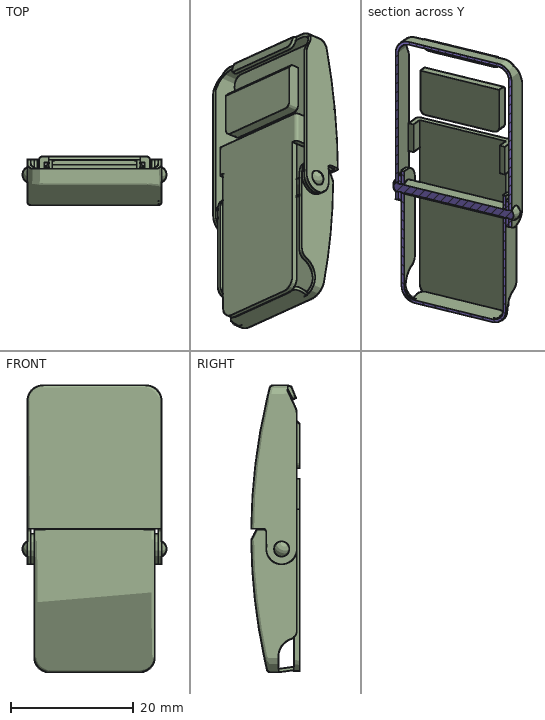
import cadquery as cq
import math


BACK = 3.0
FRONT = -5.0
COVER_BACK = 2.5
UPPER_TIP = 26.8
LOWER_TIP = -20.2
BEYOND = 3.0

FRONT_RADIUS = 96.0
CREST_Z = 2.4

WALL = 0.6
CORNER_RADIUS = 2.6
EDGE_ROUND = 0.6
UPPER_HALF_WIDTH = 11.0
LOWER_HALF_WIDTH = 9.9
UPPER_OPEN_Z = 3.3
LOWER_OPEN_Z = 3.2

LUG_RADIUS = 2.5
LUG_NOTCH_ROUND = 0.6
UPPER_TIP_BACK = 1.0
BEVEL_TOP_Z = 25.9
BEVEL_BOTTOM_Z = 22.7
BEVEL_ROUND = 2.5
UPPER_LIP_HALF_WIDTH = 6.95
UPPER_LIP_BEND = (1.6, 26.6)
UPPER_LIP_END_OUTER = (2.37, 24.7)
UPPER_LIP_END_INNER = (1.83, 24.44)
UPPER_LIP_ROOT = (UPPER_TIP_BACK, 26.1)
UPPER_LIP_CORNER = 0.8

FOLD_Z = 1.45
FOLD_TOP_Y = -4.1
FOLD_ROUND = 0.5
LOWER_TIP_BACK = -0.5
SCOOP_RADIUS = COVER_BACK - LOWER_TIP_BACK
SCOOP_ROUND = 1.5
LOWER_LIP_HALF_WIDTH = 8.0
LIP_RISE = 0.35
LOWER_LIP_CORNER = 1.0

PIN_RADIUS = 1.25
PIN_DOME = 0.8
WASHER_RADIUS = LUG_RADIUS

PLATE_THICKNESS = 1.0
FLANGE_HALF_WIDTH = 9.1
FLANGE_THICKNESS = 0.95
FLANGE_ROUND = 0.6
FLANGE_BOTTOM = 6.5
FLANGE_EDGE = 0.0
PLATE_HALF_WIDTH = FLANGE_HALF_WIDTH - FLANGE_THICKNESS
PLATE_TOP = 11.5
PLATE_BOTTOM = -20.0
PLATE_CORNER = 2.0

BLOCK_HALF_WIDTH = 7.45
BLOCK_TOP = 21.0
BLOCK_BOTTOM = 13.2
BLOCK_FRONT = 1.0
BLOCK_CORNER = 1.0
BLOCK_CHAMFER = 0.55


def across(sketch, half_width):
    """Extrude a YZ outline symmetrically along X."""
    return sketch.extrude(half_width, both=True)


def rounded_front_body(half_width, open_z, tip_z, inset):
    """Solid block behind the curved front, with round corners at its tip."""
    half = half_width - inset
    up = 1 if tip_z > open_z else -1
    tip = tip_z - up * inset
    depth = BACK + BEYOND - FRONT
    plan = (
        cq.Workplane("XZ", origin=(0, BACK + BEYOND, (open_z + tip) / 2))
        .rect(2 * half, abs(tip - open_z))
        .extrude(depth + BEYOND)
        .edges("|Y")
        .edges(">Z" if up > 0 else "<Z")
        .fillet(CORNER_RADIUS - inset)
    )
    drum = across(
        cq.Workplane("YZ").center(FRONT + FRONT_RADIUS, CREST_Z).circle(FRONT_RADIUS - inset),
        half_width + BEYOND,
    )
    return plan.intersect(drum)


def round_front_edges(body, tip_selector):
    """Round the front rim along the sides, the corners and the tip."""
    rim = body.edges("not(|Y or >Y)").edges("(not |X) or " + tip_selector)
    return rim.fillet(EDGE_ROUND)


def lip(outline, half_width, corner_radius, tip_selector):
    """Bent tab along a tip wall, with its two free corners rounded."""
    tab = across(cq.Workplane("YZ").polyline(outline).close(), half_width)
    return tab.faces(tip_selector).edges("not |X").fillet(corner_radius)


def hinge_bore():
    return across(cq.Workplane("YZ").circle(PIN_RADIUS), UPPER_HALF_WIDTH + BEYOND)


def make_upper_cover():
    shell = rounded_front_body(UPPER_HALF_WIDTH, UPPER_OPEN_Z - 2 * BEYOND, UPPER_TIP, 0)
    shell = round_front_edges(shell, ">Z")
    notch_z = UPPER_OPEN_Z - LUG_NOTCH_ROUND
    side = across(
        cq.Workplane("YZ")
        .moveTo(UPPER_TIP_BACK, UPPER_TIP + BEYOND)
        .lineTo(UPPER_TIP_BACK, BEVEL_TOP_Z)
        .lineTo(COVER_BACK, BEVEL_BOTTOM_Z)
        .lineTo(COVER_BACK, 0)
        .threePointArc((0, -LUG_RADIUS), (-LUG_RADIUS, 0))
        .lineTo(-LUG_RADIUS, notch_z)
        .radiusArc((-LUG_RADIUS - LUG_NOTCH_ROUND, UPPER_OPEN_Z), -LUG_NOTCH_ROUND)
        .lineTo(FRONT - BEYOND, UPPER_OPEN_Z)
        .lineTo(FRONT - BEYOND, UPPER_TIP + BEYOND)
        .close(),
        UPPER_HALF_WIDTH + BEYOND,
    )
    bevel_end = cq.selectors.NearestToPointSelector((0, COVER_BACK, BEVEL_BOTTOM_Z))
    side = side.edges("|X").edges(bevel_end).fillet(BEVEL_ROUND)

    cavity = rounded_front_body(UPPER_HALF_WIDTH, UPPER_OPEN_Z - 3 * BEYOND, UPPER_TIP, WALL)
    shell = shell.intersect(side).cut(cavity)

    tab = [
        (UPPER_TIP_BACK, UPPER_TIP),
        UPPER_LIP_BEND,
        UPPER_LIP_END_OUTER,
        UPPER_LIP_END_INNER,
        UPPER_LIP_ROOT,
    ]
    upper_lip = lip(tab, UPPER_LIP_HALF_WIDTH, UPPER_LIP_CORNER, "<Z")
    return shell.union(upper_lip).cut(hinge_bore())


def folded_front(inset, top_z):
    """Side outline that trims the lower cover to the slope of its fold."""
    slope = (FOLD_TOP_Y - FRONT) / (LOWER_OPEN_Z - FOLD_Z)
    shift = inset * math.hypot(1, slope)
    top_y = FRONT + slope * (top_z - FOLD_Z) + shift
    low_z = FOLD_Z - BEYOND
    low_y = FRONT + slope * (low_z - FOLD_Z) + shift
    outline = (
        cq.Workplane("YZ")
        .moveTo(top_y, top_z)
        .lineTo(low_y, low_z)
        .lineTo(low_y, LOWER_TIP - BEYOND)
        .lineTo(BACK + 2 * BEYOND, LOWER_TIP - BEYOND)
        .lineTo(BACK + 2 * BEYOND, top_z)
        .close()
    )
    return across(outline, UPPER_HALF_WIDTH)


def make_lower_cover():
    shell = rounded_front_body(LOWER_HALF_WIDTH, LOWER_OPEN_Z, LOWER_TIP, 0)
    shell = shell.intersect(folded_front(0, LOWER_OPEN_Z))
    fold = cq.selectors.NearestToPointSelector((0, FRONT, FOLD_Z))
    shell = shell.edges("|X").edges(fold).fillet(FOLD_ROUND)
    shell = round_front_edges(shell, "<Z")

    scoop_z = LOWER_TIP + CORNER_RADIUS
    side = across(
        cq.Workplane("YZ")
        .moveTo(LOWER_TIP_BACK, LOWER_TIP - BEYOND)
        .lineTo(LOWER_TIP_BACK, scoop_z)
        .radiusArc((COVER_BACK, scoop_z + SCOOP_RADIUS), SCOOP_RADIUS)
        .lineTo(COVER_BACK, LOWER_OPEN_Z - LUG_RADIUS)
        .radiusArc((COVER_BACK - LUG_RADIUS, LOWER_OPEN_Z), -LUG_RADIUS)
        .lineTo(FRONT - BEYOND, LOWER_OPEN_Z)
        .lineTo(FRONT - BEYOND, LOWER_TIP - BEYOND)
        .close(),
        UPPER_HALF_WIDTH,
    )
    heel = cq.selectors.NearestToPointSelector((0, COVER_BACK, scoop_z + SCOOP_RADIUS))
    side = side.edges("|X").edges(heel).fillet(SCOOP_ROUND)

    top_z = LOWER_OPEN_Z + BEYOND
    cavity = rounded_front_body(LOWER_HALF_WIDTH, top_z, LOWER_TIP, WALL)
    cavity = cavity.intersect(folded_front(WALL, top_z))
    shell = shell.intersect(side).cut(cavity)

    lip_end = BACK - PLATE_THICKNESS
    tab = [
        (LOWER_TIP_BACK, LOWER_TIP),
        (lip_end, LOWER_TIP + LIP_RISE),
        (lip_end, LOWER_TIP + LIP_RISE + WALL),
        (LOWER_TIP_BACK, LOWER_TIP + WALL),
    ]
    lower_lip = lip(tab, LOWER_LIP_HALF_WIDTH, LOWER_LIP_CORNER, ">Y")
    return shell.union(lower_lip).cut(hinge_bore())


def make_pin():
    end = UPPER_HALF_WIDTH
    tip = end + PIN_DOME
    dome_radius = (PIN_RADIUS**2 + PIN_DOME**2) / (2 * PIN_DOME)
    return (
        cq.Workplane("XY")
        .moveTo(-tip, 0)
        .radiusArc((-end, PIN_RADIUS), dome_radius)
        .lineTo(end, PIN_RADIUS)
        .radiusArc((tip, 0), dome_radius)
        .close()
        .revolve(360, (0, 0, 0), (1, 0, 0))
    )


def make_washer(side):
    """Spacer between the cover walls; side is -1 or +1 along X."""
    inner = LOWER_HALF_WIDTH
    outer = UPPER_HALF_WIDTH - WALL
    return (
        cq.Workplane("YZ", origin=(side * inner, 0, 0))
        .circle(WASHER_RADIUS)
        .circle(PIN_RADIUS)
        .extrude(side * (outer - inner))
    )


def make_base_plate():
    plate = (
        cq.Workplane("XY")
        .box(2 * PLATE_HALF_WIDTH, PLATE_THICKNESS, FLANGE_BOTTOM - PLATE_BOTTOM)
        .translate((0, BACK - PLATE_THICKNESS / 2, (FLANGE_BOTTOM + PLATE_BOTTOM) / 2))
        .edges("|Y and <Z")
        .fillet(PLATE_CORNER)
    )
    channel = (
        cq.Workplane("XY", origin=(0, 0, FLANGE_BOTTOM))
        .moveTo(-FLANGE_HALF_WIDTH, FLANGE_EDGE)
        .lineTo(-FLANGE_HALF_WIDTH, BACK)
        .lineTo(FLANGE_HALF_WIDTH, BACK)
        .lineTo(FLANGE_HALF_WIDTH, FLANGE_EDGE)
        .lineTo(PLATE_HALF_WIDTH, FLANGE_EDGE)
        .lineTo(PLATE_HALF_WIDTH, BACK - PLATE_THICKNESS)
        .lineTo(-PLATE_HALF_WIDTH, BACK - PLATE_THICKNESS)
        .lineTo(-PLATE_HALF_WIDTH, FLANGE_EDGE)
        .close()
        .extrude(PLATE_TOP - FLANGE_BOTTOM)
        .edges("|Z and >Y")
        .fillet(FLANGE_ROUND)
    )
    return plate.union(channel)


def make_catch_block():
    return (
        cq.Workplane("XY")
        .box(2 * BLOCK_HALF_WIDTH, BACK - BLOCK_FRONT, BLOCK_TOP - BLOCK_BOTTOM)
        .translate((0, (BACK + BLOCK_FRONT) / 2, (BLOCK_TOP + BLOCK_BOTTOM) / 2))
        .edges("|Y and <Z")
        .fillet(BLOCK_CORNER)
        .edges("|X and >Z and >Y")
        .chamfer(BLOCK_CHAMFER)
    )


upper_cover = make_upper_cover()
lower_cover = make_lower_cover()
pin = make_pin()
washers = [make_washer(side) for side in (-1, 1)]
base_plate = make_base_plate()
catch_block = make_catch_block()

result = cq.Compound.makeCompound([
    upper_cover.val(),
    lower_cover.val(),
    pin.val(),
    *[washer.val() for washer in washers],
    base_plate.val(),
    catch_block.val(),
])